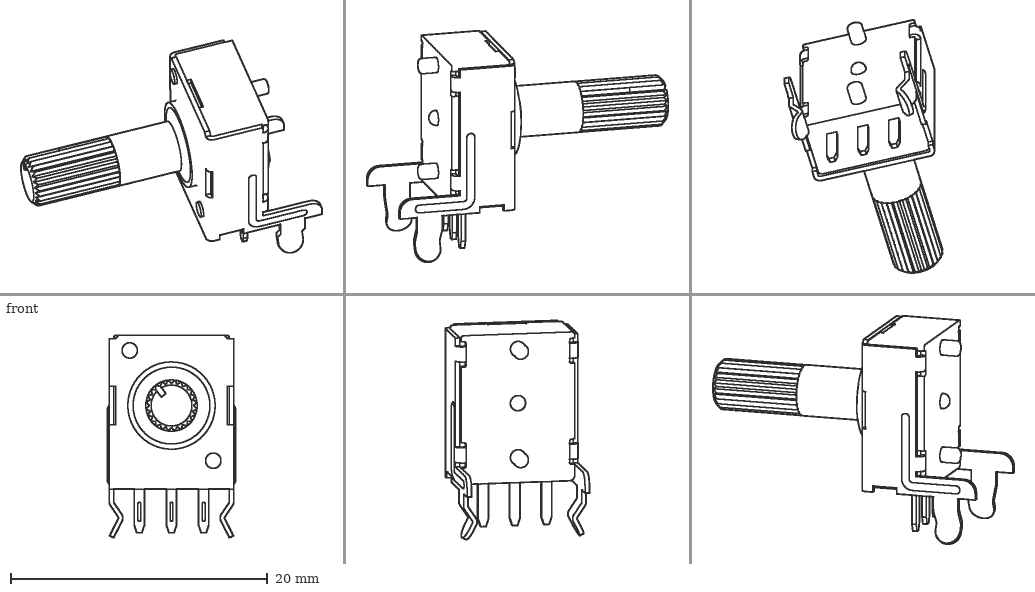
import cadquery as cq
import math


wall_thickness = 0.36
plate_thickness = 0.4
bend_radius = 0.5
inner_bend = 0.11
cover_width = 9.72
cover_top = 5.5
cover_bottom = -6.5
wall_top = 5.22
wall_depth = 4.55
half_width = cover_width / 2
bend_line = half_width - bend_radius
wall_middle = half_width - wall_thickness / 2

collar_diameter = 6.8
collar_bore = 6.0
collar_length = 0.8
collar_fillet = 0.2

window_half_height = 1.5

foot_top = -5.0
foot_end = 9.4
foot_radius = 1.0

notch_start = 1.0
notch_length = 1.97
notch_height = 0.5

tab_offset = 4.0
tab_height = 1.2
pocket_height = 2.01
pocket_depth = 0.4
pocket_fillet = 0.2

bead_height = 0.14
bead_width = 0.63
bead_y = 3.68
bead_top = -0.32
bead_z = -5.8
bead_end = 7.85
bead_bend = 0.59

lug_start = 6.0
lug_width = 2.01
lug_tip = -10.3
lug_bend_z = -7.6
lug_knee_inset = 0.77
lug_inward_angle = math.radians(34)
lug_outward_angle = math.radians(27)

housing_width = cover_width - 2 * wall_thickness
housing_back = 5.1
housing_bottom = -6.3
top_edge_fillet = 0.2
bottom_edge_fillet = 0.4

pin_diameter = 1.2
pin_z = 4.3
pip_x = 3.25
pip_height = 0.2
peg_end = 6.5
peg_fillet = 0.2

recess_width = 3.0
recess_length = 0.35
recess_depth = 0.4

shaft_diameter = 4.0
shaft_end = 13.2
cone_end = 1.2
spline_start = 6.22
tip_chamfer = 0.4
tooth_count = 24
tooth_root_radius = 1.72
mark_width = 0.45
mark_length = 3.0
mark_depth = 1.0
mark_angle = 127.5

terminal_pitch = 2.5
terminal_width = 0.81
terminal_thickness = 0.36
terminal_y = 3.75
terminal_tip = -9.92
terminal_tip_width = 0.4
terminal_taper = 0.6
slot_width = 0.2
slot_length = 1.5
slot_z = -8.27


def block(x0, x1, y0, y1, z0, z1):
    """Axis-aligned block between two opposite corners."""
    return cq.Workplane("XY").box(x1 - x0, y1 - y0, z1 - z0, centered=False).translate((x0, y0, z0))


def cylinder(diameter, x, z, y_start, y_end):
    """Cylinder along Y between y_start and the larger y_end."""
    plane = cq.Workplane("XZ", origin=(x, y_end, z))
    return plane.circle(diameter / 2).extrude(y_end - y_start)


def both_sides(left):
    """The left-hand piece joined with its mirror image."""
    return left.union(left.mirror("YZ"))


def cover_channel():
    """Front plate with two side walls, open at the back."""
    outer = block(-half_width, half_width, 0, wall_depth, cover_bottom, wall_top)
    outer = outer.edges("|Z and <Y").fillet(bend_radius)
    inner_half = housing_width / 2
    inner = block(-inner_half, inner_half, plate_thickness, wall_depth, cover_bottom, wall_top)
    inner = inner.edges("|Z and <Y").fillet(inner_bend)
    return outer.cut(inner)


def plate_top():
    """Part of the front plate above the walls, with chamfered corners."""
    rise = cover_top - wall_top
    return (
        cq.Workplane("XZ", origin=(0, plate_thickness, 0))
        .moveTo(-bend_line, wall_top)
        .lineTo(-bend_line + rise, cover_top)
        .lineTo(bend_line - rise, cover_top)
        .lineTo(bend_line, wall_top)
        .close()
        .extrude(plate_thickness)
    )


def collar():
    """Drawn collar with a filleted root; the shaft shoulder fills its bore."""
    radius = collar_diameter / 2
    root = radius + collar_fillet
    arc = collar_fillet * math.sqrt(0.5)
    return (
        cq.Workplane("XY")
        .moveTo(0, 0)
        .lineTo(root, 0)
        .threePointArc((root - arc, arc - collar_fillet), (radius, -collar_fillet))
        .lineTo(radius, -collar_length)
        .lineTo(0, -collar_length)
        .close()
        .revolve(360, (0, 0, 0), (0, 1, 0))
    )


def left_foot():
    """Rearward extension of the left wall."""
    foot = block(-half_width, -half_width + wall_thickness, bend_radius, foot_end, cover_bottom, foot_top)
    return foot.edges("|X and >Y and >Z").fillet(foot_radius)


def left_tab(z):
    """Tab that wraps round the back corner of the housing."""
    z0 = z - tab_height / 2
    z1 = z + tab_height / 2
    inner_half = housing_width / 2
    tip = inner_half - pocket_depth
    outer = block(-half_width, -tip, bend_radius, housing_back, z0, z1)
    outer = outer.edges("|Z and >Y and <X").fillet(bend_radius)
    inner = block(-inner_half, -tip, bend_radius, housing_back - plate_thickness, z0, z1)
    inner = inner.edges("|Z and >Y and <X").fillet(inner_bend)
    return outer.cut(inner)


def left_bead():
    """Round-topped L-shaped bead raised on the outside of the left wall."""
    half = bead_width / 2
    radius = (half ** 2 + bead_height ** 2) / (2 * bead_height)
    x = -half_width - bead_height + radius
    corner_y = bead_y + bead_bend
    corner_z = bead_z + bead_bend
    arc = bead_bend * math.sqrt(0.5)
    path = (
        cq.Workplane("YZ", origin=(x, 0, 0))
        .moveTo(bead_y, bead_top)
        .lineTo(bead_y, corner_z)
        .threePointArc((corner_y - arc, corner_z - arc), (corner_y, bead_z))
        .lineTo(bead_end, bead_z)
    )
    bar = cq.Workplane("XY", origin=(x, bead_y, bead_top)).circle(radius).sweep(path)
    for y, z in [(bead_y, bead_top), (bead_end, bead_z)]:
        bar = bar.union(cq.Workplane("XY", origin=(x, y, z)).sphere(radius))
    outside = block(-half_width - wall_thickness, -wall_middle, 0, foot_end, cover_bottom, cover_top)
    return bar.intersect(outside)


def left_lug():
    """Strip bent inward and back outward, ending in a round tip."""
    lug_y = lug_start + lug_width / 2
    tip_radius = lug_width / 2
    knee_x = -wall_middle + lug_knee_inset
    knee_z = lug_bend_z - lug_knee_inset / math.tan(lug_inward_angle)
    lean_sin = math.sin(lug_outward_angle)
    lean_cos = math.cos(lug_outward_angle)
    tip_z = lug_tip + tip_radius * lean_cos + wall_thickness / 2 * lean_sin
    tip_x = knee_x - (knee_z - tip_z) * math.tan(lug_outward_angle)

    corners = [
        cq.Vector(-wall_middle, lug_y, cover_bottom),
        cq.Vector(-wall_middle, lug_y, lug_bend_z),
        cq.Vector(knee_x, lug_y, knee_z),
        cq.Vector(tip_x, lug_y, tip_z),
    ]
    path = cq.Wire.makePolygon(corners)
    path = path.fillet(bend_radius - wall_thickness / 2, path.Vertices()[1:-1])
    strip = cq.Workplane("XY", origin=corners[0].toTuple()).rect(wall_thickness, lug_width).sweep(path)

    across = cq.Vector(lean_cos, 0, -lean_sin)
    tip_plane = cq.Plane(corners[-1] - across * (wall_thickness / 2), xDir=(0, 1, 0), normal=across)
    tip = (
        cq.Workplane(tip_plane)
        .moveTo(-tip_radius, 0)
        .threePointArc((0, -tip_radius), (tip_radius, 0))
        .close()
        .extrude(wall_thickness)
    )
    return strip.union(tip)


def bend_window(side):
    """Cutter that opens the front bend at mid height; side is -1 or 1.

    The bend's inside corner goes too, so the housing's rounded edge shows.
    """
    x0, x1 = sorted((side * bend_line, side * half_width))
    window = block(x0, x1, 0, plate_thickness, -window_half_height, window_half_height)
    x0, x1 = sorted((side * bend_line, side * housing_width / 2))
    corner_end = plate_thickness + inner_bend
    return window.union(block(x0, x1, 0, corner_end, -window_half_height, window_half_height))


def make_cover():
    left = left_foot().union(left_bead()).union(left_lug())
    for z in (-tab_offset, tab_offset):
        left = left.union(left_tab(z))
    cover = cover_channel().union(plate_top()).union(collar()).union(both_sides(left))
    cover = cover.cut(cylinder(collar_bore, 0, 0, -collar_length, plate_thickness))
    for side in (-1, 1):
        cover = cover.cut(bend_window(side))
        cover = cover.cut(cylinder(pin_diameter, side * pip_x, -side * pin_z, 0, plate_thickness))
    notch_end = notch_start + notch_length
    notch_top = cover_bottom + notch_height
    return cover.cut(block(-half_width, half_width, notch_start, notch_end, cover_bottom, notch_top))


def left_pocket(z):
    """Corner pocket that takes a crimp tab, with clearance above and below."""
    half = housing_width / 2
    floor = half - pocket_depth
    z0 = z - pocket_height / 2
    z1 = z + pocket_height / 2
    pocket = block(-half, -floor, housing_back - plate_thickness, housing_back, z0, z1)
    return pocket.edges("|Y and >X").fillet(pocket_fillet)


def round_tab_corners(housing):
    """Round the edges of the pockets that sit in the inside bends of the tabs."""
    reach = housing_width / 2 + inner_bend
    corner_y = housing_back - plate_thickness
    near_edge = cq.selectors.BoxSelector(
        (-reach, corner_y - inner_bend, housing_bottom),
        (reach, corner_y + inner_bend, cover_top),
    )
    outermost = cq.StringSyntaxSelector("<X or >X")
    return housing.edges(near_edge).edges("|Z").edges(outermost).fillet(inner_bend)


def make_housing():
    half = housing_width / 2
    housing = block(-half, half, plate_thickness, housing_back, housing_bottom, cover_top)
    housing = housing.edges("|Y and >Z").fillet(top_edge_fillet)
    housing = housing.edges("|Y and <Z").fillet(bottom_edge_fillet)
    housing = housing.faces("<Y").edges().fillet(inner_bend)

    for z in (-tab_offset, tab_offset):
        housing = housing.cut(both_sides(left_pocket(z)))
    housing = round_tab_corners(housing)

    recess_end = plate_thickness + recess_length
    recess_bottom = cover_top - recess_depth
    housing = housing.cut(
        block(-recess_width / 2, recess_width / 2, plate_thickness, recess_end, recess_bottom, cover_top)
    )

    for side in (-1, 1):
        pip = cylinder(pin_diameter, side * pip_x, -side * pin_z, -pip_height, plate_thickness)
        peg = cylinder(pin_diameter, 0, side * pin_z, housing_back, peg_end)
        housing = housing.union(pip).union(peg.faces(">Y").edges().fillet(peg_fillet))

    dome = cq.Workplane("XY", origin=(0, housing_back, 0)).sphere(pin_diameter / 2)
    return housing.union(dome)


def shaft_blank():
    """Round shaft with a conical shoulder and a chamfered tip."""
    radius = shaft_diameter / 2
    return (
        cq.Workplane("XY")
        .moveTo(0, plate_thickness)
        .lineTo(collar_bore / 2, plate_thickness)
        .lineTo(collar_bore / 2, -collar_length)
        .lineTo(radius, -cone_end)
        .lineTo(radius, tip_chamfer - shaft_end)
        .lineTo(radius - tip_chamfer, -shaft_end)
        .lineTo(0, -shaft_end)
        .close()
        .revolve(360, (0, 0, 0), (0, 1, 0))
    )


def tooth_spaces():
    """Ring of the spline's length whose inside is a star of sharp V-shaped teeth."""
    crest_radius = shaft_diameter / 2
    points = []
    for i in range(2 * tooth_count):
        radius = crest_radius if i % 2 else tooth_root_radius
        angle = i * math.pi / tooth_count
        points.append((radius * math.cos(angle), radius * math.sin(angle)))
    plane = cq.Workplane("XZ", origin=(0, -spline_start, 0))
    length = shaft_end - spline_start
    star = plane.polyline(points).close().extrude(length)
    return plane.circle(shaft_diameter).extrude(length).cut(star)


def make_shaft():
    shaft = shaft_blank().cut(tooth_spaces())
    mark_floor = shaft_diameter / 2 - mark_depth
    mark = block(
        mark_floor, shaft_diameter, -shaft_end, mark_length - shaft_end, -mark_width / 2, mark_width / 2
    )
    return shaft.cut(mark.rotate((0, 0, 0), (0, 1, 0), -mark_angle))


def make_terminal(x):
    """Flat pin with a tapered tip and a half-round groove in its front face."""
    half = terminal_width / 2
    tip_half = terminal_tip_width / 2
    taper_z = terminal_tip + terminal_taper
    front = terminal_y - terminal_thickness / 2
    pin = (
        cq.Workplane("XZ", origin=(x, front + terminal_thickness, 0))
        .moveTo(-half, housing_bottom)
        .lineTo(half, housing_bottom)
        .lineTo(half, taper_z)
        .lineTo(tip_half, terminal_tip)
        .lineTo(-tip_half, terminal_tip)
        .lineTo(-half, taper_z)
        .close()
        .extrude(terminal_thickness)
    )
    radius = slot_width / 2
    straight = slot_length - slot_width
    bottom = slot_z - straight / 2
    groove = cq.Workplane("XY", origin=(x, front, bottom)).circle(radius).extrude(straight)
    for z in (bottom, bottom + straight):
        groove = groove.union(cq.Workplane("XY", origin=(x, front, z)).sphere(radius))
    return pin.cut(groove)


cover = make_cover()
housing = make_housing()
shaft = make_shaft()
terminals = [make_terminal(i * terminal_pitch) for i in (-1, 0, 1)]

result = cq.Compound.makeCompound(
    [body.solids().val() for body in (cover, housing, shaft, *terminals)]
)